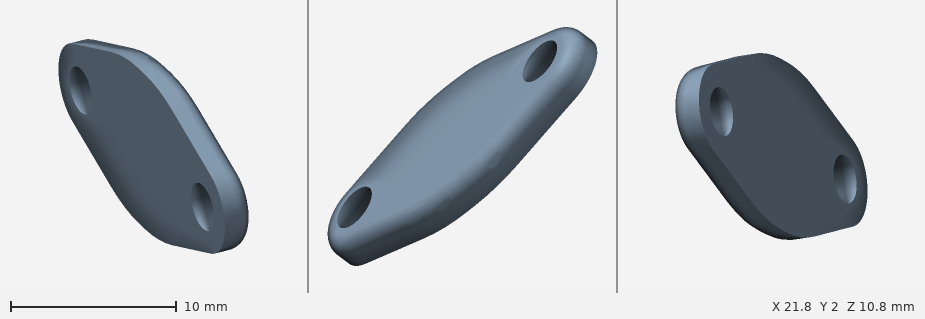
import cadquery as cq
import math

length = 21.83
thickness = 2.0
height = 10.76
hole_spacing = 16.0
hole_diameter = 3.0
crown_radius = 10.0
crown_flat = 0.72
edge_radius = 1.0

end_x = hole_spacing / 2
end_radius = length / 2 - end_x
crown_x = crown_flat / 2
crown_z = height / 2 - crown_radius

center_dx = end_x - crown_x
center_dz = -crown_z
center_distance = math.hypot(center_dx, center_dz)
tangent_angle = math.atan2(center_dx, center_dz) - math.acos(
    (crown_radius - end_radius) / center_distance
)


def crown_point(angle):
    """Point on the upper right crown arc, with the angle measured from +Z."""
    return (
        crown_x + crown_radius * math.sin(angle),
        crown_z + crown_radius * math.cos(angle),
    )


def mirrored(point, x_sign, z_sign):
    return (x_sign * point[0], z_sign * point[1])


crown_top = crown_point(0)
crown_middle = crown_point(tangent_angle / 2)
crown_end = crown_point(tangent_angle)
end_tangent = (
    end_x + end_radius * math.sin(tangent_angle),
    end_radius * math.cos(tangent_angle),
)
end_tip = (length / 2, 0)


def make_plate():
    """Closed outline, clockwise from the top, extruded from Y = 0 towards +Y."""
    outline = cq.Workplane("XZ").moveTo(*mirrored(crown_top, -1, 1))
    for side in (1, -1):
        outline = (
            outline.lineTo(*mirrored(crown_top, side, side))
            .threePointArc(mirrored(crown_middle, side, side), mirrored(crown_end, side, side))
            .lineTo(*mirrored(end_tangent, side, side))
            .threePointArc(mirrored(end_tip, side, side), mirrored(end_tangent, side, -side))
            .lineTo(*mirrored(crown_end, side, -side))
            .threePointArc(mirrored(crown_middle, side, -side), mirrored(crown_top, side, -side))
        )
    return outline.close().extrude(-thickness)


def make_holes():
    return (
        cq.Workplane("XZ")
        .pushPoints([(-end_x, 0), (end_x, 0)])
        .circle(hole_diameter / 2)
        .extrude(-thickness)
    )


result = make_plate().faces(">Y").edges().fillet(edge_radius).cut(make_holes())